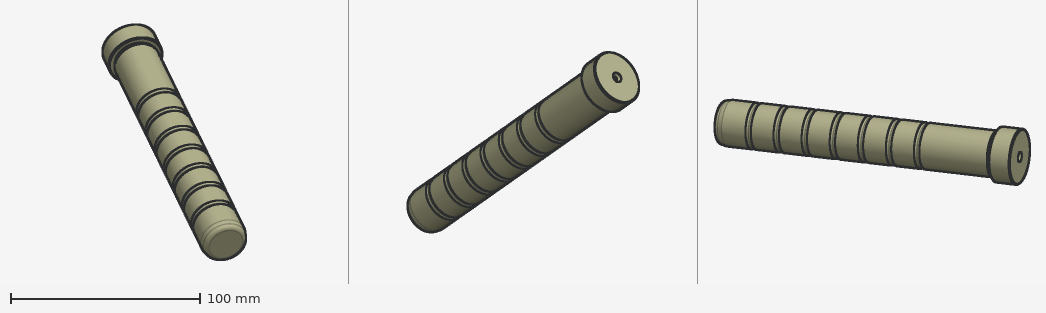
import cadquery as cq
import math

total_length = 170.0
head_diameter = 30.0
head_length = 12.0
head_edge = 0.5
shank_diameter = 25.0

relief_diameter = 23.6
relief_length = 1.9
relief_slope = 0.5

groove_count = 7
groove_first = 53.9
groove_pitch = 16.0
groove_width = 3.0
groove_ramp_drop = 0.5

taper_length = 2.5
taper_drop = 0.6
tip_radius = 2.5

centre_mouth_diameter = 5.5
centre_pilot_diameter = 3.0
centre_cone_angle = 60.0
centre_pilot_length = 3.4
drill_point_angle = 120.0

head_radius = head_diameter / 2
shank_radius = shank_diameter / 2
relief_radius = relief_diameter / 2


def cone_length(radius_change, included_angle):
    return radius_change / math.tan(math.radians(included_angle / 2))


def turned(outline):
    """Close a half outline, given as X and radius, and revolve it about the X axis."""
    return outline.close().revolve(360, (0, 0, 0), (1, 0, 0))


def pin_body():
    relief_end = head_length + relief_length
    tip_start = total_length - tip_radius
    tip_outer = shank_radius - taper_drop
    tip_inner = tip_outer - tip_radius
    arc_reach = tip_radius * math.sqrt(0.5)

    outline = (
        cq.Workplane("XY")
        .moveTo(0, 0)
        .lineTo(0, head_radius - head_edge)
        .lineTo(head_edge, head_radius)
        .lineTo(head_length - head_edge, head_radius)
        .lineTo(head_length, head_radius - head_edge)
        .lineTo(head_length, relief_radius)
        .lineTo(relief_end - relief_slope, relief_radius)
        .lineTo(relief_end, shank_radius)
        .lineTo(tip_start - taper_length, shank_radius)
        .lineTo(tip_start, tip_outer)
        .threePointArc((tip_start + arc_reach, tip_inner + arc_reach), (total_length, tip_inner))
        .lineTo(total_length, 0)
    )
    return turned(outline)


def oil_groove(centre_x):
    """Ring whose inner side ramps down to the groove centre and curves back up to the shank."""
    half_width = groove_width / 2
    groove_start = centre_x - half_width
    groove_end = centre_x + half_width
    ring_radius = shank_radius + groove_ramp_drop
    outline = (
        cq.Workplane("XY")
        .moveTo(groove_start, ring_radius)
        .lineTo(groove_start, shank_radius)
        .lineTo(centre_x, shank_radius - groove_ramp_drop)
        .tangentArcPoint((groove_end, shank_radius), relative=False)
        .lineTo(groove_end, ring_radius)
    )
    return turned(outline)


def centre_hole():
    mouth_radius = centre_mouth_diameter / 2
    pilot_radius = centre_pilot_diameter / 2
    pilot_start = cone_length(mouth_radius - pilot_radius, centre_cone_angle)
    pilot_end = pilot_start + centre_pilot_length
    point_end = pilot_end + cone_length(pilot_radius, drill_point_angle)
    outline = (
        cq.Workplane("XY")
        .moveTo(0, 0)
        .lineTo(0, mouth_radius)
        .lineTo(pilot_start, pilot_radius)
        .lineTo(pilot_end, pilot_radius)
        .lineTo(point_end, 0)
    )
    return turned(outline)


result = pin_body()
for index in range(groove_count):
    result = result.cut(oil_groove(groove_first + index * groove_pitch))
result = result.cut(centre_hole())